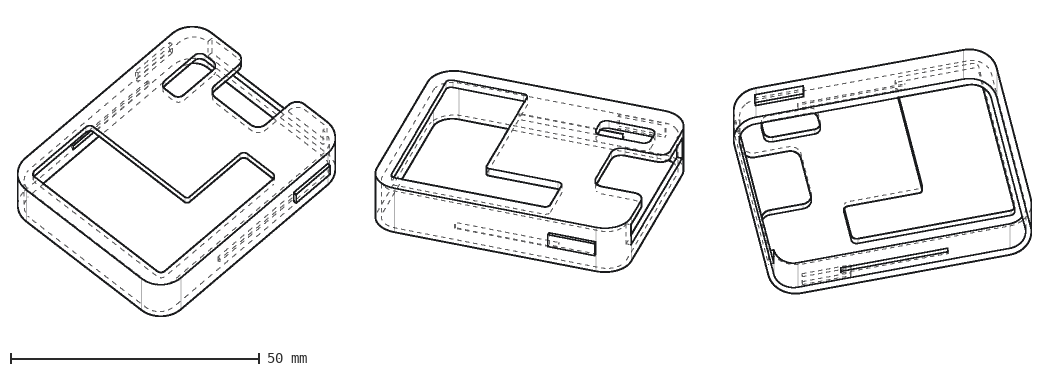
import cadquery as cq

length = 53.95
width = 43.2
height = 10.8
corner_radius = 5.6
end_wall = 1.15
side_wall = 1.55
plate = 1.8
cavity_height = height - plate
half_length = length / 2

ledge_height = 4.1
rear_gap_width = width - 2 * corner_radius

window_margin = 3.5
window_step_x = 8.95
window_step_y = -6.3
window_top = 10.15
window_corner_radius = 1.1
window_step_radius = 0.7

notch_left = -6.5
notch_right = 7.6
notch_depth = 11.1
notch_radius = 2.15

slot_width = 5.2
slot_length = 11.6
slot_x = -12.0
slot_y = 16.25
slot_radius = 1.45

pad_overall_width = 44.6
pad_length = 9.95
pad_height = 2.9
pad_bottom = 4.3
pad_rear = half_length - corner_radius

groove_length = 22.0
groove_radius = 0.65
groove_y = 2.0
groove_z = 3.55


def box_between(x_min, x_max, y_min, y_max, z_min, z_max):
    size = (x_max - x_min, y_max - y_min, z_max - z_min)
    return cq.Workplane("XY").box(*size, centered=False).translate((x_min, y_min, z_min))


def make_shell():
    body = cq.Workplane("XY").box(width, length, height, centered=(True, True, False))
    body = body.edges("|Z").fillet(corner_radius)
    cavity = cq.Workplane("XY").box(
        width - 2 * side_wall, length - 2 * end_wall, cavity_height, centered=(True, True, False)
    )
    return body.cut(cavity.edges("|Z").fillet(corner_radius - side_wall))


def make_rear_gap():
    return box_between(
        -rear_gap_width / 2, rear_gap_width / 2,
        half_length - end_wall, half_length,
        ledge_height, cavity_height,
    )


def make_window():
    side = width / 2 - window_margin
    front = -half_length + window_margin
    outline = [
        (-side, front),
        (side, front),
        (side, window_top),
        (window_step_x, window_top),
        (window_step_x, window_step_y),
        (-side, window_step_y),
    ]
    window = cq.Workplane("XY").workplane(offset=cavity_height).polyline(outline).close().extrude(plate)
    step_corner = cq.selectors.NearestToPointSelector(
        (window_step_x, window_step_y, cavity_height + plate / 2)
    )
    window = window.edges(step_corner).fillet(window_step_radius)
    for x, y in outline:
        if (x, y) != (window_step_x, window_step_y):
            corner = cq.selectors.NearestToPointSelector((x, y, cavity_height + plate / 2))
            window = window.edges(corner).fillet(window_corner_radius)
    return window


def make_notch():
    """Notch with rounded inner corners and a mouth that flares out in two arcs."""
    bottom = half_length - notch_depth
    r = notch_radius
    notch = (
        cq.Workplane("XY")
        .workplane(offset=cavity_height)
        .moveTo(notch_left - r, half_length)
        .radiusArc((notch_left, half_length - r), r)
        .lineTo(notch_left, bottom + r)
        .radiusArc((notch_left + r, bottom), -r)
        .lineTo(notch_right - r, bottom)
        .radiusArc((notch_right, bottom + r), -r)
        .lineTo(notch_right, half_length - r)
        .radiusArc((notch_right + r, half_length), r)
        .close()
    )
    return notch.extrude(plate)


def make_slot():
    slot = cq.Workplane("XY").box(slot_width, slot_length, plate, centered=(True, True, False))
    return slot.edges("|Z").fillet(slot_radius).translate((slot_x, slot_y, cavity_height))


def make_pad(side):
    """Pad on the left (side = -1) or right (side = 1) wall."""
    thickness = (pad_overall_width - width) / 2 + side_wall
    pad = cq.Workplane("XY").box(thickness, pad_length, pad_height)
    pad_x = side * (pad_overall_width - thickness) / 2
    return pad.translate((pad_x, pad_rear - pad_length / 2, pad_bottom + pad_height / 2))


def make_groove(side):
    """Groove cutter centred on the inner face of the left or right wall."""
    rod = cq.Workplane("XZ").circle(groove_radius).extrude(groove_length / 2, both=True)
    return rod.translate((side * (width / 2 - side_wall), groove_y, groove_z))


result = make_shell()
for cutter in (make_rear_gap(), make_window(), make_notch(), make_slot()):
    result = result.cut(cutter)
for side in (-1, 1):
    result = result.union(make_pad(side)).cut(make_groove(side))